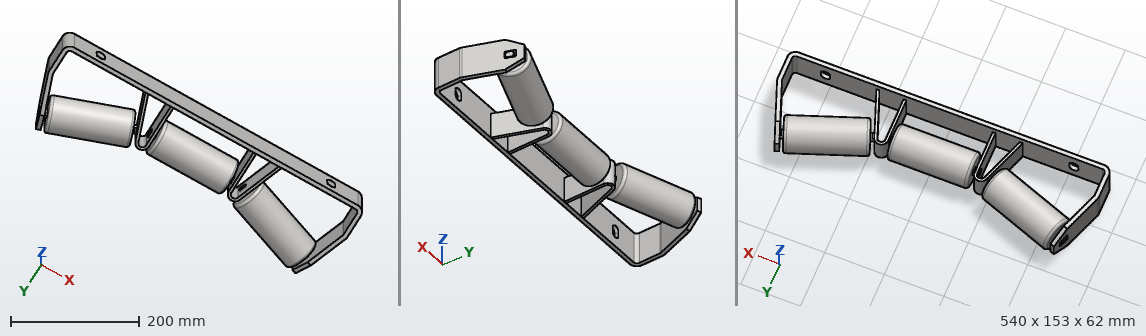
import cadquery as cq
import math

length = 540.0
strip_height = 60.0
strip_thickness = 7.5
bend_radius = 13.5
arm_bend_y = 53.5
total_depth = 153.0
lean = math.radians(20)
tip_height = 27.0
taper_length = 31.0
mount_slot_x = 208.5
mount_slot_width = 15.0
mount_slot_length = 23.0

bracket_inner_x = 72.5
bracket_thickness = 5.0
bracket_height = 47.5
bracket_bend_radius = 11.5
bracket_bend_y = 82.5

roller_diameter = 60.0
roller_length = 135.0
roller_rounding = 5.0
shaft_radius = 7.0
flat_height = 10.0
stub_length = 3.0
roller_y = 72.0
side_gap = 6.5
roller_drop = 2.0
side_roller_drop = 0.5
side_roller_v = 39.5

arm_slot_length = 19.0
arm_slot_height = 13.5
arm_slot_clearance = 1.0
arm_slot_rounding = 2.5

half_length = length / 2
roller_radius = roller_diameter / 2
mid_z = strip_height / 2
sin_lean = math.sin(lean)
cos_lean = math.cos(lean)
roller_z = mid_z - roller_drop
side_roller_z = mid_z - side_roller_drop

bracket_bend_x = bracket_inner_x + bracket_bend_radius
bracket_face_u = bracket_bend_x * cos_lean + bracket_bend_y * sin_lean + bracket_bend_radius
arm_face_u = (half_length - bend_radius) * cos_lean + arm_bend_y * sin_lean + bend_radius
arm_inner_u = arm_face_u - strip_thickness
side_roller_u = bracket_face_u + side_gap + roller_length / 2
tip_v = (total_depth - arm_face_u * sin_lean) / cos_lean


def lean_point(u, v):
    """Plan position on the +X side for the coordinates u and v."""
    return (u * cos_lean - v * sin_lean, u * sin_lean + v * cos_lean)


def lean_plane(u, v, z):
    """Plane facing along the outer roller axis, its local X running along the arm."""
    x, y = lean_point(u, v)
    return cq.Plane(origin=(x, y, z), xDir=(-sin_lean, cos_lean, 0), normal=(cos_lean, sin_lean, 0))


def arc_point(center, radius, angle):
    return (center[0] + radius * math.cos(angle), center[1] + radius * math.sin(angle))


def mirrored(body):
    return body.mirror("YZ")


def half_frame():
    """The +X half of the frame, without openings."""
    inner_radius = bend_radius - strip_thickness
    corner = (half_length - bend_radius, bend_radius)
    elbow = (half_length - bend_radius, arm_bend_y)
    return (
        cq.Workplane("XY")
        .moveTo(0, 0)
        .lineTo(corner[0], 0)
        .threePointArc(arc_point(corner, bend_radius, -math.pi / 4), (half_length, corner[1]))
        .lineTo(half_length, arm_bend_y)
        .threePointArc(arc_point(elbow, bend_radius, lean / 2), arc_point(elbow, bend_radius, lean))
        .lineTo(*lean_point(arm_face_u, tip_v))
        .lineTo(*lean_point(arm_inner_u, tip_v))
        .lineTo(*arc_point(elbow, inner_radius, lean))
        .threePointArc(arc_point(elbow, inner_radius, lean / 2), (elbow[0] + inner_radius, elbow[1]))
        .lineTo(corner[0] + inner_radius, corner[1])
        .threePointArc(arc_point(corner, inner_radius, -math.pi / 4), (corner[0], strip_thickness))
        .lineTo(0, strip_thickness)
        .close()
        .extrude(strip_height)
    )


def tip_tapers():
    """Wedges that narrow the arm toward its tip, above and below."""
    wedges = cq.Workplane(lean_plane(arm_face_u, tip_v, mid_z))
    for side in (1, -1):
        wedges = wedges.polyline([
            (0, side * tip_height / 2),
            (0, side * mid_z),
            (-taper_length, side * mid_z),
        ]).close()
    return wedges.extrude(-strip_thickness)


def arm_slot():
    """Opening for the outer shaft end, longer toward the tip of the arm."""
    slot_v = side_roller_v - shaft_radius - arm_slot_clearance + arm_slot_length / 2
    return (
        cq.Workplane(lean_plane(arm_face_u, slot_v, side_roller_z))
        .rect(arm_slot_length, arm_slot_height)
        .extrude(-strip_thickness)
        .edges(cq.selectors.ParallelDirSelector(cq.Vector(cos_lean, sin_lean, 0)))
        .fillet(arm_slot_rounding)
    )


def mount_slot():
    return (
        cq.Workplane("XZ", origin=(mount_slot_x, 0, mid_z))
        .slot2D(mount_slot_length, mount_slot_width, 90)
        .extrude(-strip_thickness)
    )


def make_frame():
    half = half_frame().cut(tip_tapers()).cut(arm_slot()).cut(mount_slot())
    return half.union(mirrored(half))


def bar(plane, radius, start, end):
    """Round bar along the normal of the plane, between two distances from it."""
    return cq.Workplane(plane).workplane(offset=start).circle(radius).extrude(end - start)


def shaft(plane, start, end):
    """Shaft along the normal of the plane: round in and next to the roller, flatted at both ends."""
    round_reach = roller_length / 2 + stub_length
    flats = (
        cq.Workplane(plane)
        .workplane(offset=start)
        .rect(2 * shaft_radius, flat_height)
        .extrude(end - start)
    )
    flatted = bar(plane, shaft_radius, start, end).intersect(flats)
    return flatted.union(bar(plane, shaft_radius, -round_reach, round_reach))


def make_roller(plane, shaft_body):
    """Roller with rounded rims, one piece with its shaft."""
    drum = bar(plane, roller_radius, -roller_length / 2, roller_length / 2)
    return drum.edges("%CIRCLE").fillet(roller_rounding).union(shaft_body)


def middle_plane():
    return cq.Plane(origin=(0, roller_y, roller_z), xDir=(0, 1, 0), normal=(1, 0, 0))


def middle_shaft():
    """Shaft ending flush with the far faces of both brackets."""
    reach = bracket_inner_x + bracket_thickness
    return shaft(middle_plane(), -reach, reach)


def side_plane():
    return lean_plane(side_roller_u, side_roller_v, side_roller_z)


def side_shaft():
    """Shaft ending flush with the far faces of the bracket and the arm."""
    inner_end = bracket_face_u - bracket_thickness
    return shaft(side_plane(), inner_end - side_roller_u, arm_face_u - side_roller_u)


def make_bracket():
    """The +X bracket: an upright leg, a bend over the top and a leaning leg."""
    inner_radius = bracket_bend_radius - bracket_thickness
    bend = (bracket_bend_x, bracket_bend_y)
    bend_middle = (math.pi + lean) / 2

    def foot(u):
        return ((u - strip_thickness * sin_lean) / cos_lean, strip_thickness)

    strip = (
        cq.Workplane("XY")
        .moveTo(bracket_inner_x, strip_thickness)
        .lineTo(bracket_inner_x, bracket_bend_y)
        .threePointArc(
            arc_point(bend, bracket_bend_radius, bend_middle), arc_point(bend, bracket_bend_radius, lean)
        )
        .lineTo(*foot(bracket_face_u))
        .lineTo(*foot(bracket_face_u - bracket_thickness))
        .lineTo(*arc_point(bend, inner_radius, lean))
        .threePointArc(
            arc_point(bend, inner_radius, bend_middle), (bracket_inner_x + bracket_thickness, bracket_bend_y)
        )
        .lineTo(bracket_inner_x + bracket_thickness, strip_thickness)
        .close()
        .extrude(bracket_height)
    )
    return strip.cut(middle_shaft()).cut(side_shaft())


frame = make_frame()
bracket = make_bracket()
brackets = [bracket, mirrored(bracket)]
middle_roller = make_roller(middle_plane(), middle_shaft())
side_roller = make_roller(side_plane(), side_shaft())
side_rollers = [side_roller, mirrored(side_roller)]

result = cq.Compound.makeCompound(
    [frame.val(), middle_roller.val()] + [body.val() for body in brackets + side_rollers]
)